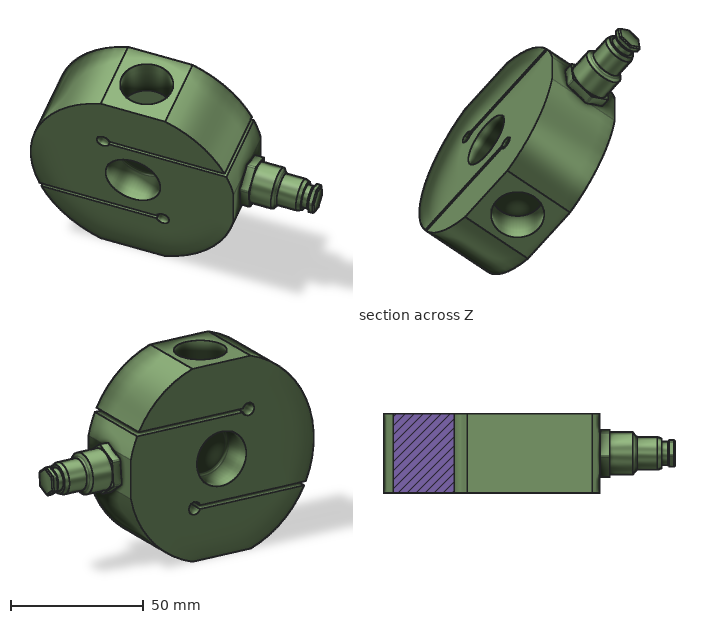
import cadquery as cq

HOUSING_THICKNESS = 30.0
HOUSING_RADIUS = 41.1
HOUSING_HEIGHT = 78.0
GLAND_FLAT_X = 40.3

SLOT_WIDTH = 1.5
SLOT_HEIGHT = 17.6
SLOT_END_X = 12.0
RELIEF_RADIUS = 2.5

POCKET_RADIUS = 11.0
POCKET_FILLET = 1.0
POCKET_DEPTH = 13.7

LOAD_HOLE_RADIUS = 10.0
LOAD_HOLE_DEPTH = 15.4

GLAND_END_X = 109.9 - HOUSING_RADIUS
HEX_TILT = 6.0

BASE_HEX_START_X = 40.5
BASE_HEX_END_X = 44.2
BASE_HEX_FLATS = 17.0
BASE_HEX_CORNER_FILLET = 0.8

BARREL_RADIUS = 8.1
BARREL_END_X = 52.7
SHOULDER_X = 53.6
SHOULDER_RADIUS = 6.9
SLEEVE_RADIUS = 6.3
SLEEVE_START_X = 54.4
SLEEVE_END_X = 62.1
TAPER_END_X = 63.7
TAPER_END_RADIUS = 5.6
NECK_RADIUS = 4.5
COLLAR_START_X = 65.9
COLLAR_END_RADIUS = 4.8

CAP_HEX_START_X = 66.6
CAP_HEX_FLATS = 9.8
CAP_HEX_CORNER_FILLET = 0.7
CAP_BEVEL = 0.5


def cylinder_along_y(radius, start_y, length):
    return cq.Workplane(cq.Solid.makeCylinder(radius, length, cq.Vector(0, start_y, 0), cq.Vector(0, 1, 0)))


def housing_blank():
    disc = cylinder_along_y(HOUSING_RADIUS, -HOUSING_THICKNESS / 2, HOUSING_THICKNESS)
    length = HOUSING_RADIUS + GLAND_FLAT_X
    envelope = cq.Workplane().box(length, HOUSING_THICKNESS, HOUSING_HEIGHT)
    return disc.intersect(envelope.translate((GLAND_FLAT_X - length / 2, 0, 0)))


def relief_slot():
    """Slot above the centre, open at +X and ending in a round relief hole at -X."""
    length = HOUSING_RADIUS + SLOT_END_X
    slot = cq.Workplane().box(length, HOUSING_THICKNESS, SLOT_WIDTH)
    slot = slot.translate((length / 2 - SLOT_END_X, 0, SLOT_HEIGHT))
    relief = cylinder_along_y(RELIEF_RADIUS, -HOUSING_THICKNESS / 2, HOUSING_THICKNESS)
    return slot.union(relief.translate((-SLOT_END_X, 0, SLOT_HEIGHT)))


def gauge_pocket():
    """Blind round pocket from the -Y face, with a fillet around its floor."""
    pocket = cylinder_along_y(POCKET_RADIUS, -HOUSING_THICKNESS / 2, POCKET_DEPTH)
    return pocket.faces(">Y").edges().fillet(POCKET_FILLET)


def load_hole():
    top = HOUSING_HEIGHT / 2
    return cq.Workplane().workplane(offset=top).circle(LOAD_HOLE_RADIUS).extrude(-LOAD_HOLE_DEPTH)


def make_housing():
    housing = housing_blank()
    for turn in (0, 180):
        housing = housing.cut(relief_slot().rotate((0, 0, 0), (0, 1, 0), turn))
        housing = housing.cut(load_hole().rotate((0, 0, 0), (0, 1, 0), turn))
        housing = housing.cut(gauge_pocket().rotate((0, 0, 0), (0, 0, 1), turn))
    return housing


def hexagon_along_x(flats, corner_fillet, start_x, end_x):
    """Hexagonal collar with rounded corners."""
    plane = cq.Workplane("YZ", origin=(start_x, 0, 0))
    hexagon = plane.polygon(6, flats, circumscribed=True).extrude(end_x - start_x)
    hexagon = hexagon.edges("|X").fillet(corner_fillet)
    return hexagon.rotate((0, 0, 0), (1, 0, 0), HEX_TILT)


def gland_core():
    """Stepped round core, turned about the X axis."""
    profile = (
        cq.Workplane("XY")
        .moveTo(GLAND_FLAT_X, 0)
        .lineTo(GLAND_FLAT_X, BARREL_RADIUS)
        .lineTo(BARREL_END_X, BARREL_RADIUS)
        .lineTo(SHOULDER_X, SHOULDER_RADIUS)
        .lineTo(SLEEVE_START_X, SLEEVE_RADIUS)
        .lineTo(SLEEVE_END_X, SLEEVE_RADIUS)
        .lineTo(TAPER_END_X, TAPER_END_RADIUS)
        .lineTo(TAPER_END_X, NECK_RADIUS)
        .lineTo(COLLAR_START_X, NECK_RADIUS)
        .lineTo(CAP_HEX_START_X, COLLAR_END_RADIUS)
        .lineTo(CAP_HEX_START_X, 0)
        .close()
    )
    return profile.revolve(360, (0, 0, 0), (1, 0, 0))


def make_gland():
    base_hex = hexagon_along_x(BASE_HEX_FLATS, BASE_HEX_CORNER_FILLET, BASE_HEX_START_X, BASE_HEX_END_X)
    cap_hex = hexagon_along_x(CAP_HEX_FLATS, CAP_HEX_CORNER_FILLET, CAP_HEX_START_X, GLAND_END_X)
    cap_hex = cap_hex.faces(">X").chamfer(CAP_BEVEL)
    return gland_core().union(base_hex).union(cap_hex)


housing = make_housing().solids()
gland = make_gland().solids()
result = cq.Compound.makeCompound([housing.val(), gland.val()])